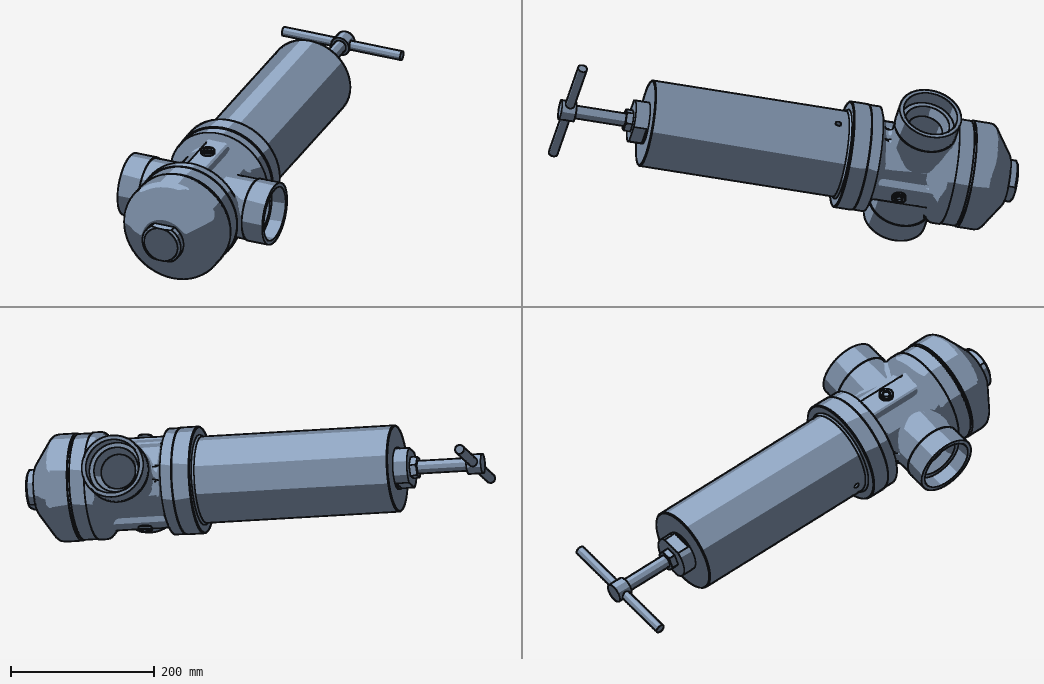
import cadquery as cq
import math


PICK_MARGIN = 0.05

PIPE_LENGTH = 220.0
PIPE_RADIUS = 43.0
PIPE_END_RADIUS = 44.0
PIPE_END_LENGTH = 31.0
PIPE_Y = -0.5
SOCKET_RADIUS = 38.5
SOCKET_DEPTH = 21.0
TAPER_RADIUS = 32.0
TAPER_LENGTH = 13.0
BORE_RADIUS = 25.0
PIPE_BLEND = 6.0
FLANGE_RADIUS = 74.0
FLANGE_TOP = 74.0
FLANGE_BOTTOM = 58.5
NECK_RADIUS = 54.5
NECK_TOP = 51.0
NECK_BOTTOM = -17.5
NECK_TOP_BLEND = 6.5
NECK_BOTTOM_BLEND = 8.5
BAND_DIAMETER = 150.0
BAND_RADIUS = BAND_DIAMETER / 2
BAND_TOP = -37.0
BAND_BLEND = 8.5
BAND_BOTTOM = -51.0
BODY_BOTTOM = -72.0

PAD_HALF_HEIGHT = 62.5
PAD_WIDTH = 34.0
PAD_EDGE_RADIUS = 4.5
PAD_ROOT = math.sqrt(NECK_RADIUS ** 2 - (PAD_WIDTH / 2) ** 2)
PAD_BLEND = 4.0
PLUG_Y = 19.0
PLUG_RADIUS = 10.0
PLUG_HEIGHT = 6.0
PLUG_CHAMFER = 1.0
PLUG_HEX_CORNERS = 12.0
PLUG_HEX_DEPTH = 4.0

BOWL_RADIUS = BAND_RADIUS
SPIGOT_RADIUS = 71.5
BOWL_TOP = -75.5
BOWL_SHOULDER = -105.5
BOWL_SHOULDER_BLEND = 10.5
BOWL_TIP_RADIUS = 35.0
BOWL_TIP = -134.0
BOWL_TIP_BLEND = 9.0
BOWL_END = -146.5
BOWL_BOSS_CHAMFER_HEIGHT = 2.5
BOWL_BOSS_CHAMFER_WIDTH = 4.0

BOSS_RADIUS = 29.0
BOSS_FLATS = 50.0

HOUSING_RADIUS = 60.5
HOUSING_TOP = 382.0
HOUSING_EDGE = 1.0
BOSS_COLLAR_TOP = 384.0
BOSS_TOP = 402.0
VENT_Y = 120.0
VENT_RADIUS = 4.0
VENT_DEPTH = 8.0
RING_RADIUS = 75.0
RING_TOP = 101.0
RING_CHAMFER = 1.0
FLARE_TOP = 104.0
FLARE_WIDTH = 2.5

SPINDLE_RADIUS = 9.0
SPINDLE_TOP = 504.0
HEAD_RADIUS = 13.5
HEAD_BOTTOM = 483.5
NUT_TOP = 412.0
NUT_FLATS = 26.5
NUT_CORNERS = NUT_FLATS / math.cos(math.pi / 6)
NUT_CHAMFER = 1.0
BAR_LENGTH = 179.5
BAR_RADIUS = 6.5
BAR_Y = 493.0


def y_cylinder(radius, y_low, y_high):
    """Cylinder on the Y axis between two heights."""
    return cq.Workplane("XZ", origin=(0, y_high, 0)).circle(radius).extrude(y_high - y_low)


def x_cylinder(radius, length, y):
    """Cylinder along X, centred on x = 0."""
    return cq.Workplane("YZ", origin=(-length / 2, y, 0)).circle(radius).extrude(length)


def y_revolve(points):
    """Solid of revolution about Y from (radius, y) points."""
    return cq.Workplane("XY").polyline(points).close().revolve(360, (0, 0, 0), (0, 1, 0))


def circle_edge(radius, y):
    """Selector for the horizontal circles at height y that are no larger than radius."""
    reach = radius + PICK_MARGIN
    return cq.selectors.BoxSelector(
        (-reach, y - PICK_MARGIN, -reach),
        (reach, y + PICK_MARGIN, reach),
        boundingbox=True,
    )


def wrench_boss(y_low, y_high):
    """Round boss with two wrench flats facing +Z and -Z."""
    flats = cq.Workplane("XY").box(2 * BOSS_RADIUS, y_high - y_low, BOSS_FLATS)
    return y_cylinder(BOSS_RADIUS, y_low, y_high).intersect(flats.translate((0, (y_low + y_high) / 2, 0)))


def body_core():
    """Turned shape of the valve body: flange, waisted neck and lower band."""
    core = y_revolve([
        (0, FLANGE_TOP),
        (FLANGE_RADIUS, FLANGE_TOP),
        (FLANGE_RADIUS, FLANGE_BOTTOM),
        (NECK_RADIUS, NECK_TOP),
        (NECK_RADIUS, NECK_BOTTOM),
        (BAND_RADIUS, BAND_TOP),
        (BAND_RADIUS, BAND_BOTTOM),
        (FLANGE_RADIUS, BAND_BOTTOM),
        (FLANGE_RADIUS, BODY_BOTTOM),
        (0, BODY_BOTTOM),
    ])
    core = core.edges(circle_edge(NECK_RADIUS, NECK_TOP)).fillet(NECK_TOP_BLEND)
    core = core.edges(circle_edge(NECK_RADIUS, NECK_BOTTOM)).fillet(NECK_BOTTOM_BLEND)
    return core.edges(circle_edge(BAND_RADIUS, BAND_TOP)).fillet(BAND_BLEND)


def gauge_pads():
    """Bar through the neck whose two rounded faces form the gauge pads."""
    length = FLANGE_BOTTOM - BAND_TOP
    pads = cq.Workplane("XY").box(PAD_WIDTH, length, 2 * PAD_HALF_HEIGHT)
    pads = pads.edges("|Y").fillet(PAD_EDGE_RADIUS)
    return pads.translate((0, (FLANGE_BOTTOM + BAND_TOP) / 2, 0))


def pipe_end(side):
    """Slightly thicker end length of the pipe at +X (side = 1) or -X (side = -1)."""
    start = side * (PIPE_LENGTH / 2 - PIPE_END_LENGTH)
    section = cq.Workplane("YZ", origin=(start, PIPE_Y, 0)).circle(PIPE_END_RADIUS)
    return section.extrude(side * PIPE_END_LENGTH)


def pipe_bore():
    """Through bore that tapers out at each end to the floor of a pipe socket."""
    mouth = PIPE_LENGTH / 2
    floor = mouth - SOCKET_DEPTH
    throat = floor - TAPER_LENGTH
    bore = cq.Workplane("XY").polyline([
        (-mouth, 0),
        (-mouth, SOCKET_RADIUS),
        (-floor, SOCKET_RADIUS),
        (-floor, TAPER_RADIUS),
        (-throat, BORE_RADIUS),
        (throat, BORE_RADIUS),
        (floor, TAPER_RADIUS),
        (floor, SOCKET_RADIUS),
        (mouth, SOCKET_RADIUS),
        (mouth, 0),
    ]).close().revolve(360, (0, 0, 0), (1, 0, 0))
    return bore.translate((0, PIPE_Y, 0))


def core_with_pipes():
    """Turned core with the pipe through it, filleted where the two meet."""
    body = body_core().union(x_cylinder(PIPE_RADIUS, PIPE_LENGTH, PIPE_Y))
    return body.edges("%BSPLINE").fillet(PIPE_BLEND)


def blend_pads(body):
    """Fillet the pads where their sides meet the neck and their ends meet the two cones."""
    reach_x = PAD_WIDTH / 2 + PICK_MARGIN
    nearest_z = PAD_ROOT - PICK_MARGIN
    joints = []
    for z_low, z_high in ((nearest_z, BAND_RADIUS), (-BAND_RADIUS, -nearest_z)):
        near_pad = cq.selectors.BoxSelector(
            (-reach_x, BAND_TOP, z_low),
            (reach_x, FLANGE_BOTTOM, z_high),
            boundingbox=True,
        )
        for edge in body.edges(near_pad).vals():
            bounds_edge_rounding = edge.geomType() == "LINE" and abs(edge.Center().z) > NECK_RADIUS
            if not bounds_edge_rounding:
                joints.append(edge)
    return body.newObject(joints).fillet(PAD_BLEND)


def make_body():
    body = blend_pads(core_with_pipes().union(gauge_pads()))
    for side in (1, -1):
        body = body.union(pipe_end(side))
    return body.cut(pipe_bore())


def make_bowl():
    bowl = y_revolve([
        (0, BODY_BOTTOM),
        (SPIGOT_RADIUS, BODY_BOTTOM),
        (SPIGOT_RADIUS, BOWL_TOP),
        (BOWL_RADIUS, BOWL_TOP),
        (BOWL_RADIUS, BOWL_SHOULDER),
        (BOWL_TIP_RADIUS, BOWL_TIP),
        (0, BOWL_TIP),
    ])
    bowl = bowl.edges(circle_edge(BOWL_RADIUS, BOWL_SHOULDER)).fillet(BOWL_SHOULDER_BLEND)
    bowl = bowl.edges(circle_edge(BOWL_TIP_RADIUS, BOWL_TIP)).fillet(BOWL_TIP_BLEND)
    chamfered = y_revolve([
        (0, BOWL_TIP),
        (BOSS_RADIUS, BOWL_TIP),
        (BOSS_RADIUS, BOWL_END + BOWL_BOSS_CHAMFER_HEIGHT),
        (BOSS_RADIUS - BOWL_BOSS_CHAMFER_WIDTH, BOWL_END),
        (0, BOWL_END),
    ])
    return bowl.union(wrench_boss(BOWL_END, BOWL_TIP).intersect(chamfered))


def make_gauge_plug(side):
    """Plug seated on the pad at side = +1 (top) or -1 (bottom), with a hex socket."""
    plug = cq.Workplane("XY").circle(PLUG_RADIUS).extrude(PLUG_HEIGHT)
    plug = plug.faces("<Z or >Z").chamfer(PLUG_CHAMFER)
    plug = plug.faces(">Z").workplane().polygon(6, PLUG_HEX_CORNERS).cutBlind(-PLUG_HEX_DEPTH)
    plug = plug.translate((0, PLUG_Y, PAD_HALF_HEIGHT))
    return plug if side > 0 else plug.mirror("XY")


def make_housing():
    housing = y_cylinder(HOUSING_RADIUS, FLANGE_TOP, HOUSING_TOP)
    housing = housing.faces(">Y").chamfer(HOUSING_EDGE)
    housing = housing.union(y_cylinder(BOSS_RADIUS, HOUSING_TOP, BOSS_COLLAR_TOP))
    housing = housing.union(wrench_boss(BOSS_COLLAR_TOP, BOSS_TOP))
    housing = housing.cut(y_cylinder(SPINDLE_RADIUS, HOUSING_TOP, BOSS_TOP))
    vent = cq.Workplane("YZ", origin=(-HOUSING_RADIUS, VENT_Y, 0)).circle(VENT_RADIUS).extrude(VENT_DEPTH)
    return housing.cut(vent)


def make_ring():
    return y_revolve([
        (HOUSING_RADIUS, FLARE_TOP),
        (HOUSING_RADIUS + FLARE_WIDTH, RING_TOP),
        (RING_RADIUS - RING_CHAMFER, RING_TOP),
        (RING_RADIUS, RING_TOP - RING_CHAMFER),
        (RING_RADIUS, FLANGE_TOP + RING_CHAMFER),
        (RING_RADIUS - RING_CHAMFER, FLANGE_TOP),
        (HOUSING_RADIUS, FLANGE_TOP),
    ])


def make_spindle():
    spindle = y_cylinder(SPINDLE_RADIUS, HOUSING_TOP, HEAD_BOTTOM)
    spindle = spindle.union(y_cylinder(HEAD_RADIUS, HEAD_BOTTOM, SPINDLE_TOP))
    return spindle.cut(x_cylinder(BAR_RADIUS, BAR_LENGTH, BAR_Y))


def make_lock_nut():
    """Hexagon nut with corners on +X and -X and its outer end corners rounded off."""
    height = NUT_TOP - BOSS_TOP
    nut = cq.Workplane("XZ", origin=(0, NUT_TOP, 0)).polygon(6, NUT_CORNERS).extrude(height)
    turned = y_cylinder(NUT_CORNERS / 2, BOSS_TOP, NUT_TOP).faces(">Y").chamfer(NUT_CHAMFER)
    return nut.intersect(turned).cut(y_cylinder(SPINDLE_RADIUS, BOSS_TOP, NUT_TOP))


body = make_body()
bowl = make_bowl()
gauge_plugs = [make_gauge_plug(side) for side in (1, -1)]
housing = make_housing()
ring = make_ring()
spindle = make_spindle()
lock_nut = make_lock_nut()
t_bar = x_cylinder(BAR_RADIUS, BAR_LENGTH, BAR_Y)

result = cq.Compound.makeCompound([
    body.val(),
    bowl.val(),
    *[plug.val() for plug in gauge_plugs],
    housing.val(),
    ring.val(),
    spindle.val(),
    lock_nut.val(),
    t_bar.val(),
])